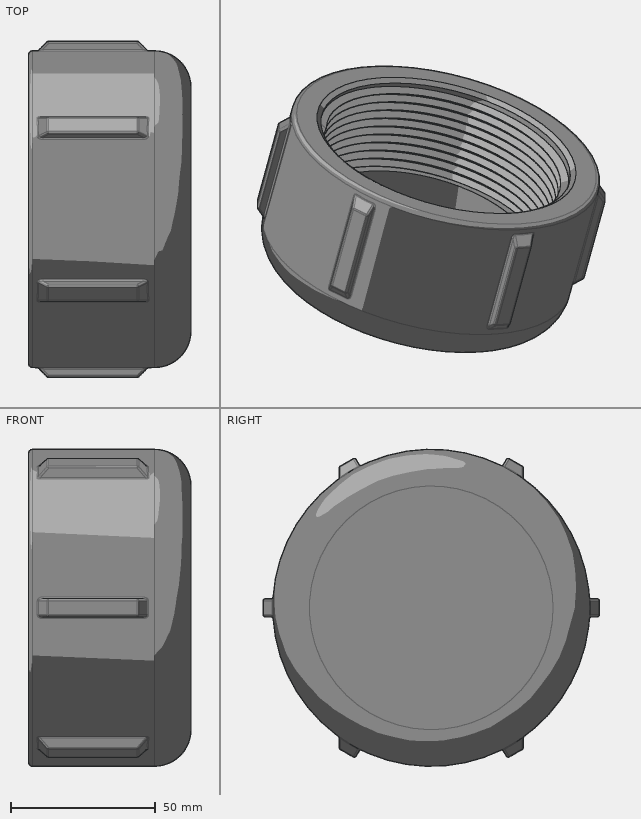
import cadquery as cq
import math

length = 56.13
outer_radius = 109.47 / 2
rim_fillet = 1.5
dome_fillet = 12.7

entry_radius = 46.0
chamfer_radius = 44.3
chamfer_depth = 1.3
thread_end_depth = 33.0
bore_radius = 76.71 / 2
floor_depth = 46.0
floor_fillet = 1.6
cavity_seam_angle = 60

pitch = 25.4 / 8
radius_taper = 1 / 32
thread_height = 2.4
flank_angle = 30
root_gap = 0.25
thread_embed = 0.15
thread_setback = 0.65
thread_start_depth = chamfer_depth + thread_setback + pitch / 2
thread_stop_depth = thread_end_depth + pitch
runout_angle = 10
runout_tip_height = 0.05

rib_tip_radius = 116.08 / 2
rib_root_radius = 50.0
rib_width = 6.35
rib_start = 3.35
rib_end = 41.15
rib_edge_fillet = 0.8
rib_base_fillet = 0.6
rib_spacing = 60
flared_sides = [0, -1, 1, 0, -1, 1]


def root_radius_at(depth):
    """Radius of the tapered thread bore at a distance behind the open end."""
    return chamfer_radius - radius_taper * (depth - chamfer_depth)


def make_body():
    body = cq.Workplane("YZ").circle(outer_radius).extrude(length)
    body = body.faces("<X").edges().fillet(rim_fillet)
    return body.faces(">X").edges().fillet(dome_fillet)


def make_rib(angle, flared_side):
    """One rib with 45 degree ends; a flared flank leans outward until it is parallel to Z."""
    end_run = rib_tip_radius - outer_radius
    root_run = outer_radius - rib_root_radius
    half_width = rib_width / 2
    flare = (rib_tip_radius - rib_root_radius) * math.tan(math.radians(rib_spacing / 2))
    low_flare = flare if flared_side < 0 else 0
    high_flare = flare if flared_side > 0 else 0

    section = (
        cq.Workplane("YZ")
        .polyline([
            (rib_root_radius, -half_width - low_flare),
            (rib_tip_radius, -half_width),
            (rib_tip_radius, half_width),
            (rib_root_radius, half_width + high_flare),
        ])
        .close()
        .extrude(length)
    )
    side = (
        cq.Workplane("XY")
        .polyline([
            (rib_start - root_run, rib_root_radius),
            (rib_start + end_run, rib_tip_radius),
            (rib_end - end_run, rib_tip_radius),
            (rib_end + root_run, rib_root_radius),
        ])
        .close()
        .extrude(rib_width + flare, both=True)
    )
    rib = section.intersect(side)
    whole_rib = cq.selectors.BoxSelector(
        (-length, 0, -length),
        (length, rib_tip_radius + length, length),
    )
    root_zone = cq.selectors.BoxSelector(
        (-length, 0, -length),
        (length, rib_root_radius + rib_edge_fillet, length),
    )
    exposed_edges = cq.selectors.SubtractSelector(whole_rib, root_zone)
    rib = rib.edges(exposed_edges).fillet(rib_edge_fillet)
    return rib.rotate((0, 0, 0), (1, 0, 0), angle)


def is_rib_base(edge):
    """True for an edge that lies on the outer cylinder within the length of the ribs."""
    tolerance = 1e-3
    points = edge.positions([0, 0.25, 0.5, 0.75, 1])
    on_cylinder = all(abs(math.hypot(p.y, p.z) - outer_radius) < tolerance for p in points)
    within_ribs = all(rib_start - tolerance < p.x < rib_end + tolerance for p in points)
    return on_cylinder and within_ribs


def add_ribs(body):
    for index, flared_side in enumerate(flared_sides):
        body = body.union(make_rib(index * rib_spacing, flared_side))
    base_edges = [edge for edge in body.edges().vals() if is_rib_base(edge)]
    return body.newObject(base_edges).fillet(rib_base_fillet)


def make_cavity():
    cavity = (
        cq.Workplane("XY")
        .polyline([
            (0, 0),
            (0, entry_radius),
            (chamfer_depth, chamfer_radius),
            (thread_end_depth, root_radius_at(thread_end_depth)),
            (thread_end_depth, bore_radius),
            (floor_depth, bore_radius),
            (floor_depth, 0),
        ])
        .close()
        .revolve(360, (0, 0, 0), (1, 0, 0))
    )
    cavity = cavity.faces(">X").edges().fillet(floor_fillet)
    return cavity.rotate((0, 0, 0), (1, 0, 0), cavity_seam_angle)


def thread_section(root_radius, height):
    """Ridge outline in the XZ plane, pointing toward the Z axis from the given root radius."""
    spread = math.tan(math.radians(flank_angle))
    half_width = (pitch - root_gap) / 2 * height / thread_height
    half_base = half_width + thread_embed * spread
    half_crest = half_width - height * spread
    return cq.Workplane("XZ").polyline([
        (root_radius + thread_embed, -half_base),
        (root_radius - height, -half_crest),
        (root_radius - height, half_crest),
        (root_radius + thread_embed, half_base),
    ]).close()


def lay_along_x(thread_part):
    """Cyclic turn of the axes (X to Y, Y to Z, Z to X), then a shift to the thread start."""
    turned = thread_part.rotate((0, 0, 0), (1, 1, 1), 120)
    return turned.translate((thread_start_depth, 0, 0))


def make_ridge():
    """Tapered helical ridge that ends flush against the shoulder behind the thread."""
    start_radius = root_radius_at(thread_start_depth)
    travel = thread_stop_depth - thread_start_depth
    taper_angle = math.degrees(math.atan(radius_taper))
    helix = cq.Wire.makeHelix(pitch, travel, start_radius, angle=-taper_angle)
    section = thread_section(start_radius, thread_height)
    ridge = section.sweep(cq.Workplane(obj=helix), isFrenet=True)
    reach = cq.Workplane("YZ").circle(entry_radius).extrude(thread_end_depth)
    return lay_along_x(ridge).intersect(reach)


def make_runout():
    """Short fade of the ridge into the bore wall ahead of the thread start."""
    start_radius = root_radius_at(thread_start_depth)
    full_outline = thread_section(start_radius, thread_height).val()
    tip_outline = (
        thread_section(start_radius, runout_tip_height).val()
        .rotate(cq.Vector(0, 0, 0), cq.Vector(0, 0, 1), -runout_angle)
        .translate(cq.Vector(0, 0, -pitch * runout_angle / 360))
    )
    runout = cq.Solid.makeLoft([full_outline, tip_outline], True)
    return lay_along_x(cq.Workplane(obj=runout))


threaded_cavity = make_cavity().cut(make_ridge()).cut(make_runout())
result = add_ribs(make_body()).cut(threaded_cavity)